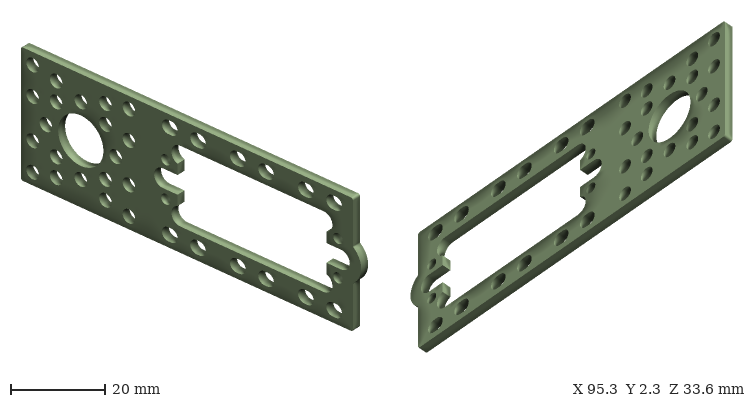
import cadquery as cq
import math

total_length = 95.3
plate_length = 93.0
plate_height = 33.6
thickness = 2.3
corner_radius = 0.6

window_center_x = 64.7
window_length = 41.7
window_height = 20.3
lobe_radius = 2.5
lobe_depth = 1.7
slot_radius = 2.5
slot_length = 54.8

slot_end_x = window_center_x + slot_length / 2 - slot_radius
tab_radius = total_length - slot_end_x
tab_root_radius = 0.4

screw_diameter = 2.7
screw_spacing_x = 48.2
screw_spacing_z = 9.9

hole_diameter = 3.5

edge_hole_length = 4.4
edge_hole_width = hole_diameter
edge_row_spacing = 27.0
pair_pitch = 19.1
pair_spacing = 7.9
pair_count = 3

bore_x = 16.8
bore_diameter = 12.7
ring_diameter = 19.5
ring_hole_count = 8
square_spacing = edge_row_spacing
inner_spacing = 11.2
outer_spacing_x = 13.8
outer_spacing_z = 24.3


def through_plate(outline):
    """Extrude a closed outline through the full plate thickness."""
    return outline.extrude(-thickness)


def face_at(points):
    """Front-face workplane with the given (x, z) positions selected."""
    return cq.Workplane("XZ").pushPoints(points)


def four_corners(center_x, spacing_x, spacing_z):
    """Corners of a rectangle centred on center_x and the plate's mid height."""
    return [
        (center_x + side_x * spacing_x / 2, side_z * spacing_z / 2)
        for side_x in (-1, 1)
        for side_z in (-1, 1)
    ]


def make_plate():
    plate = through_plate(face_at([(plate_length / 2, 0)]).rect(plate_length, plate_height))
    plate = plate.edges("|Y").fillet(corner_radius)
    tab = through_plate(face_at([(slot_end_x, 0)]).circle(tab_radius))
    tab_root_z = math.sqrt(tab_radius**2 - (plate_length - slot_end_x) ** 2)
    tab_roots = [(plate_length, thickness / 2, side * tab_root_z) for side in (-1, 1)]
    plate = plate.union(tab)
    for root in tab_roots:
        plate = plate.edges("|Y").edges(cq.NearestToPointSelector(root)).fillet(tab_root_radius)
    return plate


def make_window():
    center = [(window_center_x, 0)]
    lobe_spacing_x = window_length + 2 * (lobe_depth - lobe_radius)
    lobe_spacing_z = window_height - 2 * lobe_radius
    lobes = four_corners(window_center_x, lobe_spacing_x, lobe_spacing_z)
    window = through_plate(face_at(center).rect(window_length, lobe_spacing_z))
    window = window.union(through_plate(face_at(center).rect(lobe_spacing_x, window_height)))
    window = window.union(through_plate(face_at(lobes).circle(lobe_radius)))
    slot = through_plate(face_at(center).slot2D(slot_length, 2 * slot_radius))
    return window.union(slot)


def edge_hole_positions():
    positions = []
    for index in range(pair_count):
        pair_x = window_center_x + (index - (pair_count - 1) / 2) * pair_pitch
        positions += four_corners(pair_x, pair_spacing, edge_row_spacing)
    return positions


def round_hole_positions():
    ring_radius = ring_diameter / 2
    ring_step = 2 * math.pi / ring_hole_count
    positions = [
        (
            bore_x + ring_radius * math.cos(index * ring_step),
            ring_radius * math.sin(index * ring_step),
        )
        for index in range(ring_hole_count)
    ]
    positions += four_corners(bore_x, square_spacing, square_spacing)
    positions += four_corners(bore_x, square_spacing, inner_spacing)
    positions += four_corners(bore_x, outer_spacing_x, outer_spacing_z)
    return positions


screw_positions = four_corners(window_center_x, screw_spacing_x, screw_spacing_z)

result = (
    make_plate()
    .cut(make_window())
    .cut(through_plate(face_at([(bore_x, 0)]).circle(bore_diameter / 2)))
    .cut(through_plate(face_at(round_hole_positions()).circle(hole_diameter / 2)))
    .cut(through_plate(face_at(screw_positions).circle(screw_diameter / 2)))
    .cut(through_plate(face_at(edge_hole_positions()).slot2D(edge_hole_length, edge_hole_width)))
)